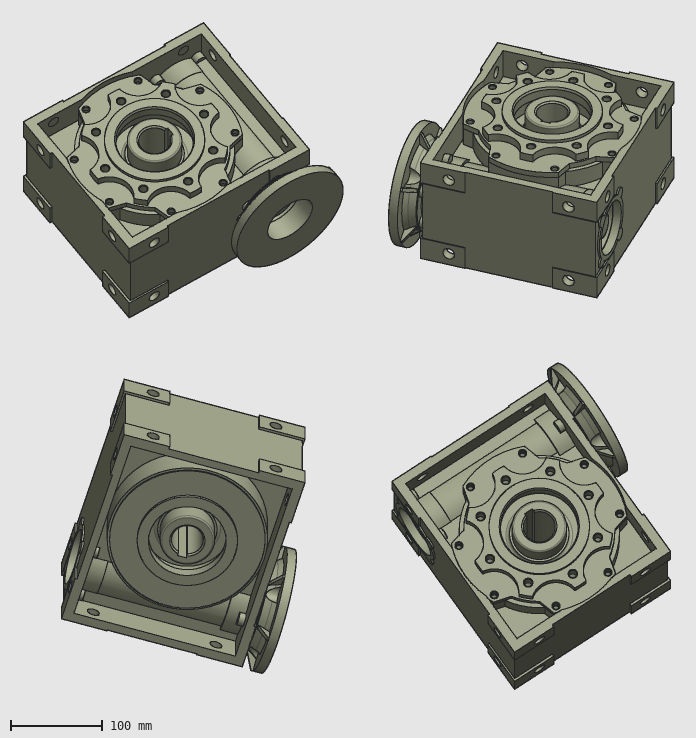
import cadquery as cq
import math

worm_y = 90.0

pad_x = 102.8
pad_front_y = -103.0
pad_back_y = 134.0
wall_x = 100.7
wall_front_y = -100.2
wall_back_y = 133.0
housing_z = 64.5
pad_length = 51.8
pad_height = 27.4
inside_x = 91.8
inside_front_y = -91.5
inside_back_y = 123.5
floor_z = 29.5

mount_hole_d = 13.5
mount_blind_depth = 10.0
mount_x = 69.7
mount_y_offset = 85.5
mount_z = 49.7

boss_r = 87.3
boss_face_r = 84.7
seat_z = 50.5
boss_face_z = 66.3
hub_r = 54.7
hub_z = 70.0
hub_bore_r = 42.3
hub_bore_chamfer = 1.3
hub_bore_chamfer_height = 2.5
recess_r = 47.5
recess_z = 56.5
cavity_r = 75.2
cavity_z = 38.7

tube_r = 35.8
end_collar_r = 36.0
end_collar_length = 22.4
input_collar_r = 38.7
input_collar_length = 20.3
mouth_r = 30.8
mouth_depth = 9.5
worm_bore_r = 29.5
ring_r = 36.5
lobe_r = 7.0
end_lobe_circle_r = 38.7
end_lobe_start_x = -82.5
input_lobe_circle_r = 41.3
input_lobe_start_x = 84.7
flange_seat_x = 104.7

cover_r = 97.0
cover_clearance = 0.5
lobe_top_z = 57.0
star_r = 80.0
star_scallop_r = 26.8
cover_bolt_circle_r = 89.5
cover_bolt_d = 7.0
cover_bolt_mouth_d = 9.0
cover_bolt_depth = 10.5
tapped_circle_r = 65.0
tapped_d = 8.5
tapped_mouth_d = 10.3
tapped_depth = 13.2
notch_r = 82.3
notch_half_width = 15.8
notch_flank_angle = 60
arm_count = 8
notch_count = 4
drill_half_angle = 59

wheel_r = 73.5
wheel_half = 15.0
wheel_chamfer = 3.0
wheel_hub_r = 52.5
wheel_hub_z = 38.1
collar_r = 32.3
collar_z = 43.5
collar_fillet = 4.0
shaft_r = 29.7
shaft_z = 68.6
shaft_edge = 1.8
shaft_bore_r = 17.4
key_width = 10.0
key_top_y = 20.8

worm_end_x = -94.7
journal_r = 15.0
journal_chamfer = 1.3
journal_end_x = -68.5
worm_r = 16.0
cone_start_x = 52.5
cone_start_r = 18.5
cone_end_x = 56.5
input_shaft_r = 22.4

flange_r = 70.0
flange_end_x = 130.2
disc_start_x = 119.7
neck_plate_end_x = 106.0
neck_plate_r = 49.0
neck_start_r = 47.9
neck_mid_x = 114.1
neck_mid_r = 52.5
neck_end_r = 56.8
rib_count = 6
rib_width = 4.2
rib_start_x = 107.3
rib_top_x = 117.5
motor_bolt_circle_r = 57.5
bolt_scallop_r = 9.5


def disc(radius, z_low, z_high):
    """Cylinder about the output axis."""
    return cq.Workplane("XY").workplane(offset=z_low).circle(radius).extrude(z_high - z_low)


def bar(radius, x_low, x_high, y=worm_y, z=0):
    """Cylinder parallel to X."""
    return cq.Workplane("YZ", origin=(x_low, 0, 0)).center(y, z).circle(radius).extrude(x_high - x_low)


def block(x_low, x_high, y_low, y_high, z_low, z_high):
    """Box between two corners."""
    size = (x_high - x_low, y_high - y_low, z_high - z_low)
    return cq.Workplane("XY", origin=(x_low, y_low, z_low)).box(*size, centered=False)


def polar(radius, angle):
    """Point at a radius and an angle in degrees."""
    return radius * math.cos(math.radians(angle)), radius * math.sin(math.radians(angle))


def arm_angles(count, start):
    """Evenly spaced angles around a circle."""
    return [start + 360 / count * i for i in range(count)]


def add_bolt_lobes(body, circle_r, angles, x_low, x_high):
    """Bosses parallel to X, spread around the worm axis."""
    for angle in angles:
        y, z = polar(circle_r, angle)
        body = body.union(bar(lobe_r, x_low, x_high, worm_y + y, z))
    return body


def drilled_hole(diameter, mouth_diameter, depth, point, top_z):
    """Countersunk blind hole with a conical bottom, as a solid to cut away."""
    radius = diameter / 2
    mouth_radius = mouth_diameter / 2
    tip = radius / math.tan(math.radians(drill_half_angle))
    profile = [
        (0, 0),
        (mouth_radius, 0),
        (radius, radius - mouth_radius),
        (radius, -depth),
        (0, -depth - tip),
    ]
    hole = cq.Workplane("XZ").polyline(profile).close().revolve(360, (0, 0), (0, 1))
    return hole.translate((point[0], point[1], top_z))


def cut_cover_bolt_holes(body):
    """Bolt holes that run through the cover lobes into the housing."""
    for angle in arm_angles(arm_count, 180 / arm_count):
        point = polar(cover_bolt_circle_r, angle)
        body = body.cut(drilled_hole(cover_bolt_d, cover_bolt_mouth_d, cover_bolt_depth, point, lobe_top_z))
    return body


def notched_disc(z_low, z_high):
    """Disc with four flared, round-bottomed notches on the diagonals."""
    body = disc(cover_r, z_low, z_high)
    inner_x = math.sqrt(notch_r**2 - notch_half_width**2)
    outer_x = cover_r + 2.5
    outer_half = notch_half_width + (outer_x - inner_x) * math.tan(math.radians(notch_flank_angle))
    notch = cq.Workplane("XY").workplane(offset=z_low).moveTo(inner_x, -notch_half_width)
    notch = notch.lineTo(outer_x, -outer_half).lineTo(outer_x, outer_half).lineTo(inner_x, notch_half_width)
    notch = notch.threePointArc((notch_r, 0), (inner_x, -notch_half_width)).close().extrude(z_high - z_low)
    for angle in arm_angles(notch_count, 45):
        body = body.cut(notch.rotate((0, 0, 0), (0, 0, 1), angle))
    return body


def make_frame():
    """Walls with corner pads, and one open pocket above and one below the middle slab."""
    frame = block(-wall_x, wall_x, wall_front_y, wall_back_y, -housing_z, housing_z)
    for x_low in (-pad_x, pad_x - pad_length):
        for y_low in (pad_front_y, pad_back_y - pad_length):
            for z_low in (-housing_z, housing_z - pad_height):
                frame = frame.union(block(x_low, x_low + pad_length, y_low, y_low + pad_length,
                                          z_low, z_low + pad_height))
    for z_low, z_high in ((-housing_z, -floor_z), (floor_z, housing_z)):
        frame = frame.cut(block(-inside_x, inside_x, inside_front_y, inside_back_y, z_low, z_high))
    return frame


def cut_mounting_holes(body):
    """Through holes on the ±Y sides and at the front of +X, and blind ones on -X."""
    mid_y = (pad_front_y + pad_back_y) / 2
    radius = mount_hole_d / 2
    front_y = mid_y - mount_y_offset
    back_y = mid_y + mount_y_offset
    for z in (-mount_z, mount_z):
        for y in (front_y, back_y):
            body = body.cut(bar(radius, -pad_x, mount_blind_depth - pad_x, y, z))
        body = body.cut(bar(radius, inside_x, pad_x, front_y, z))
        for x in (-mount_x, mount_x):
            for y_low, y_high in ((pad_front_y, inside_front_y), (inside_back_y, pad_back_y)):
                hole = cq.Workplane("XZ", origin=(x, y_low, z)).circle(radius).extrude(y_low - y_high)
                body = body.cut(hole)
    return body


def make_housing():
    body = cut_mounting_holes(make_frame())

    body = body.union(bar(tube_r, -inside_x, inside_x))
    body = body.union(bar(end_collar_r, -inside_x, end_collar_length - inside_x))
    body = body.union(bar(input_collar_r, inside_x - input_collar_length, inside_x))
    body = body.union(bar(ring_r, -pad_x, -inside_x))
    body = body.union(bar(ring_r, inside_x, flange_seat_x))
    body = add_bolt_lobes(body, end_lobe_circle_r, arm_angles(4, 45), -pad_x, end_lobe_start_x)
    body = add_bolt_lobes(body, input_lobe_circle_r, arm_angles(rib_count, 30),
                          input_lobe_start_x, flange_seat_x)

    body = body.union(disc(boss_r, -housing_z, seat_z))
    body = body.union(notched_disc(floor_z, seat_z))
    body = body.union(disc(boss_face_r, -boss_face_z, -housing_z))
    body = body.union(disc(hub_r, -hub_z, -boss_face_z))
    body = body.cut(disc(cover_r + cover_clearance, seat_z, housing_z))

    body = body.cut(disc(cavity_r, -cavity_z, seat_z))
    body = body.cut(disc(recess_r, -recess_z, -cavity_z))
    body = body.cut(disc(hub_bore_r, -hub_z, -recess_z))
    body = body.cut(bar(worm_bore_r, -pad_x, flange_seat_x))
    body = body.cut(bar(mouth_r, -pad_x, mouth_depth - pad_x))
    return cut_cover_bolt_holes(body)


def make_cover():
    body = notched_disc(seat_z, lobe_top_z)
    body = body.union(disc(cavity_r, cavity_z, seat_z))

    bolt_points = [polar(cover_bolt_circle_r, a) for a in arm_angles(arm_count, 180 / arm_count)]
    star = disc(star_r, lobe_top_z, boss_face_z)
    scallops = cq.Workplane("XY").workplane(offset=lobe_top_z).pushPoints(bolt_points)
    star = star.cut(scallops.circle(star_scallop_r).extrude(boss_face_z - lobe_top_z))
    body = body.union(star)

    body = body.union(disc(hub_r, boss_face_z, hub_z))
    body = body.cut(disc(hub_bore_r, recess_z, hub_z))
    body = body.cut(disc(recess_r, cavity_z, recess_z))
    bore_edge = body.faces(">Z").edges(cq.selectors.RadiusNthSelector(0))
    body = bore_edge.chamfer(hub_bore_chamfer, hub_bore_chamfer_height)

    body = cut_cover_bolt_holes(body)
    for angle in arm_angles(arm_count, 0):
        point = polar(tapped_circle_r, angle)
        body = body.cut(drilled_hole(tapped_d, tapped_mouth_d, tapped_depth, point, boss_face_z))
    return body


def make_output_wheel():
    rim = disc(wheel_r, -wheel_half, wheel_half).edges().chamfer(wheel_chamfer)
    body = rim.union(disc(wheel_hub_r, -wheel_hub_z, wheel_hub_z))
    body = body.union(disc(collar_r, -collar_z, collar_z))
    for face_z in (-wheel_hub_z, wheel_hub_z):
        root = cq.selectors.BoxSelector((-2.5, -2.5, face_z - 0.3), (2.5, 2.5, face_z + 0.3))
        body = body.edges(root).edges(cq.selectors.RadiusNthSelector(0)).fillet(collar_fillet)
    shaft = disc(shaft_r, -shaft_z, shaft_z).edges().fillet(shaft_edge)
    body = body.union(shaft)

    body = body.cut(disc(shaft_bore_r, -shaft_z, shaft_z))
    body = body.faces("<Z or >Z").edges(cq.selectors.RadiusNthSelector(0)).chamfer(shaft_edge)
    body = body.cut(block(-key_width / 2, key_width / 2, 0, key_top_y, -shaft_z, shaft_z))
    return body


def revolve_about_worm_axis(profile):
    """Solid of revolution from (x, radius) points."""
    outline = cq.Workplane("XY").polyline(profile).close()
    return outline.revolve(360, (0, 0), (1, 0)).translate((0, worm_y, 0))


def make_worm():
    return revolve_about_worm_axis([
        (worm_end_x, 0),
        (worm_end_x, journal_r - journal_chamfer),
        (worm_end_x + journal_chamfer, journal_r),
        (journal_end_x, journal_r),
        (journal_end_x, worm_r),
        (cone_start_x, worm_r),
        (cone_start_x, cone_start_r),
        (cone_end_x, input_shaft_r),
        (flange_seat_x, input_shaft_r),
        (flange_seat_x, 0),
    ])


def make_motor_flange():
    body = revolve_about_worm_axis([
        (flange_seat_x, worm_bore_r),
        (flange_seat_x, neck_plate_r),
        (neck_plate_end_x, neck_plate_r),
        (neck_plate_end_x, neck_start_r),
        (neck_mid_x, neck_mid_r),
        (disc_start_x, neck_end_r),
        (disc_start_x, worm_bore_r),
    ])

    for angle in arm_angles(4, 45):
        y, z = polar(motor_bolt_circle_r, angle)
        body = body.cut(bar(bolt_scallop_r, neck_plate_end_x, disc_start_x, worm_y + y, z))

    rib_outline = [(rib_start_x, worm_bore_r), (rib_start_x, neck_plate_r), (rib_top_x, flange_r),
                   (disc_start_x, flange_r), (disc_start_x, worm_bore_r)]
    rib = cq.Workplane("XY").workplane(offset=-rib_width / 2).polyline(rib_outline).close()
    rib = rib.extrude(rib_width)
    for angle in arm_angles(rib_count, 30):
        body = body.union(rib.rotate((0, 0, 0), (1, 0, 0), angle).translate((0, worm_y, 0)))

    body = body.union(bar(flange_r, disc_start_x, flange_end_x))
    return body.cut(bar(worm_bore_r, flange_seat_x, flange_end_x))


housing = make_housing()
cover = make_cover()
output_wheel = make_output_wheel()
worm = make_worm()
motor_flange = make_motor_flange()

result = cq.Compound.makeCompound([
    housing.val(),
    cover.val(),
    output_wheel.val(),
    worm.val(),
    motor_flange.val(),
])